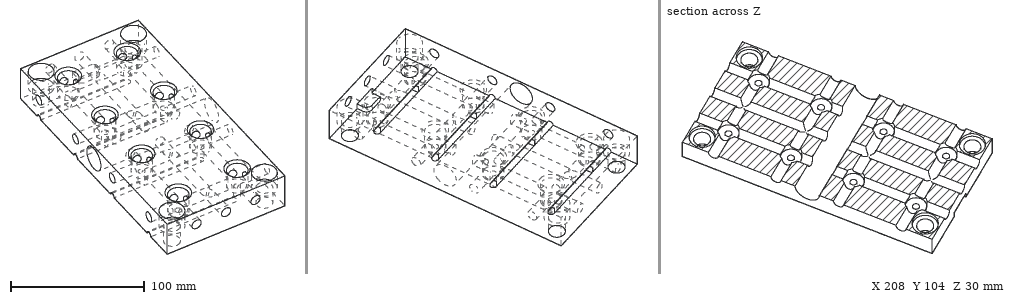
import cadquery as cq

length = 208.0
width = 104.0
height = 30.0

port_pitch = 52.0
port_xs = [(column - 1.5) * port_pitch for column in range(4)]
port_ys = [-port_pitch / 2, port_pitch / 2]
port_diameter = 16.2
port_mouth_diameter = 20.0
port_chamfer = (port_mouth_diameter - port_diameter) / 2
pilot_diameter = 5.2

bore_level = 17.9
cross_diameter = 8.1
main_diameter = 20.0
port_floor = 12.5

bolt_inset = 11.2
bolt_diameter = 12.7
bolt_head_diameter = 19.3
bolt_head_depth = height / 2

recess_width = 20.0
recess_centre_y = 3.7
recess_depth = 4.8
recess_length = 10.0
recess_corner_radius = 5.0


def rod_along_y(x, z, diameter, y_start, y_end):
    plane = cq.Plane(origin=(x, y_start, z), xDir=(1, 0, 0), normal=(0, 1, 0))
    return cq.Workplane(plane).circle(diameter / 2).extrude(y_end - y_start)


def rod_along_x(y, z, diameter):
    plane = cq.Plane(origin=(-length / 2, y, z), xDir=(0, 1, 0), normal=(1, 0, 0))
    return cq.Workplane(plane).circle(diameter / 2).extrude(length)


def cut_ports(body):
    """Chamfered wells with a pilot hole through each floor."""
    centres = [(x, y) for x in port_xs for y in port_ys]
    wells = cq.Workplane("XY", origin=(0, 0, port_floor)).pushPoints(centres)
    wells = wells.circle(port_diameter / 2).extrude(height - port_floor)
    mouths = cq.Workplane("XY", origin=(0, 0, height)).pushPoints(centres)
    mouths = mouths.circle(port_mouth_diameter / 2).extrude(-port_chamfer, taper=45)
    pilots = cq.Workplane("XY").pushPoints(centres).circle(pilot_diameter / 2).extrude(height)
    return body.cut(wells).cut(mouths).cut(pilots)


def cut_bores(body):
    """Cross bores through every row and column of ports, plus the central main bore."""
    for x in port_xs:
        body = body.cut(rod_along_y(x, bore_level, cross_diameter, -width / 2, width / 2))
    for y in port_ys + [0]:
        body = body.cut(rod_along_x(y, bore_level, cross_diameter))
    return body.cut(rod_along_y(0, bore_level, main_diameter, -width / 2, width / 2))


def cut_grooves(body):
    """Half-round underside grooves from the -Y face to the farther pilot hole of each column."""
    for x in port_xs:
        body = body.cut(rod_along_y(x, 0, pilot_diameter, -width / 2, max(port_ys)))
    return body


def cut_bolt_holes(body):
    spacing_x = length - 2 * bolt_inset
    spacing_y = width - 2 * bolt_inset
    top = body.faces(">Z").workplane(origin=(0, 0, height))
    return top.rarray(spacing_x, spacing_y, 2, 2).cboreHole(
        bolt_diameter, bolt_head_diameter, bolt_head_depth
    )


def cut_recess(body):
    recess = (
        cq.Workplane("XY", origin=(-length / 2, recess_centre_y, 0))
        .box(recess_length, recess_width, recess_depth, centered=(False, True, False))
        .edges("|Z and >X")
        .fillet(recess_corner_radius)
    )
    return body.cut(recess)


result = cq.Workplane("XY").box(length, width, height, centered=(True, True, False))
result = cut_ports(result)
result = cut_bores(result)
result = cut_grooves(result)
result = cut_bolt_holes(result)
result = cut_recess(result)